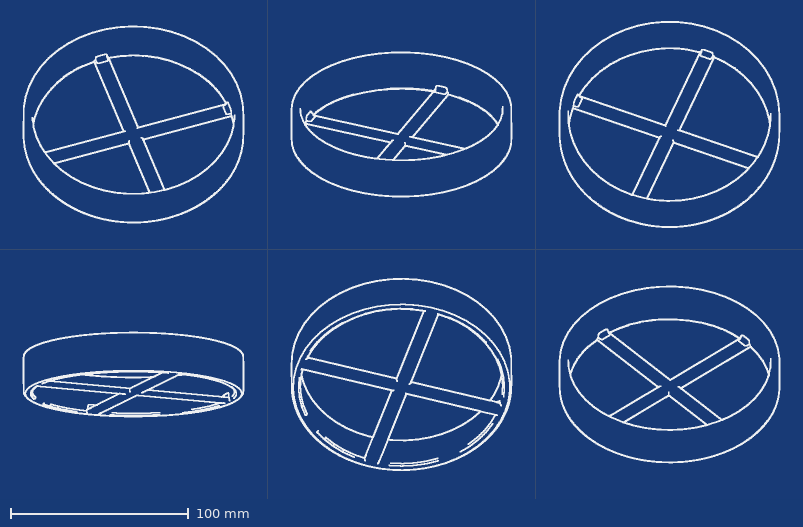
import cadquery as cq

outer_diameter = 124.0
inner_diameter = 114.0
ring_height = 22.0
edge_radius = 1.0
bottom_chamfer = 1.0
chamfer_blend_radius = 1.2

bar_width = 8.5
bar_thickness = 2.0
bar_edge_radius = 0.9

gusset_width = bar_width - 2 * bar_edge_radius
gusset_leg = 2.9
gusset_edge_radius = 0.9

outer_radius = outer_diameter / 2
inner_radius = inner_diameter / 2
wall_middle_radius = (outer_radius + inner_radius) / 2


def make_ring():
    """Plain ring with its edges rounded, but a blended chamfer on the bottom outer one."""
    ring = cq.Workplane("XY").circle(outer_radius).circle(inner_radius).extrude(ring_height)
    ring = ring.faces(">Z").edges().fillet(edge_radius)
    ring = ring.faces("<Z").edges(cq.selectors.RadiusNthSelector(0)).fillet(edge_radius)
    ring = ring.faces("<Z").edges(cq.selectors.RadiusNthSelector(-1)).chamfer(bottom_chamfer)
    chamfer_top = cq.selectors.BoxSelector(
        (-outer_diameter, -outer_diameter, bottom_chamfer / 2),
        (outer_diameter, outer_diameter, 1.5 * bottom_chamfer),
    )
    return (
        ring.edges("%CIRCLE")
        .edges(chamfer_top)
        .edges(cq.selectors.RadiusNthSelector(-1))
        .fillet(chamfer_blend_radius)
    )


def make_bar():
    """Bar along X with softened long edges and its ends buried in the ring wall."""
    bar = cq.Workplane("XY").box(
        2 * wall_middle_radius, bar_width, bar_thickness, centered=(True, True, False)
    )
    return bar.edges("|X").fillet(bar_edge_radius)


def make_gusset():
    """45 degree wedge at the +X end of a bar, reaching into the bar and the wall."""
    toe_radius = inner_radius - gusset_leg
    wall_rise = wall_middle_radius - toe_radius
    gusset = (
        cq.Workplane("XZ")
        .moveTo(toe_radius - bar_thickness / 2, bar_thickness / 2)
        .lineTo(wall_middle_radius, bar_thickness / 2)
        .lineTo(wall_middle_radius, bar_thickness + wall_rise)
        .lineTo(toe_radius, bar_thickness)
        .close()
        .extrude(gusset_width / 2, both=True)
    )
    sloping_edges = cq.selectors.BoxSelector(
        (toe_radius, -bar_width, bar_thickness), (wall_middle_radius, bar_width, ring_height)
    )
    return gusset.edges(sloping_edges).edges("not(|X or |Y or |Z)").fillet(gusset_edge_radius)


result = make_ring()
for angle in (0, 90):
    result = result.union(make_bar().rotate((0, 0, 0), (0, 0, 1), angle))
for angle in (0, 90, 180, 270):
    result = result.union(make_gusset().rotate((0, 0, 0), (0, 0, 1), angle))